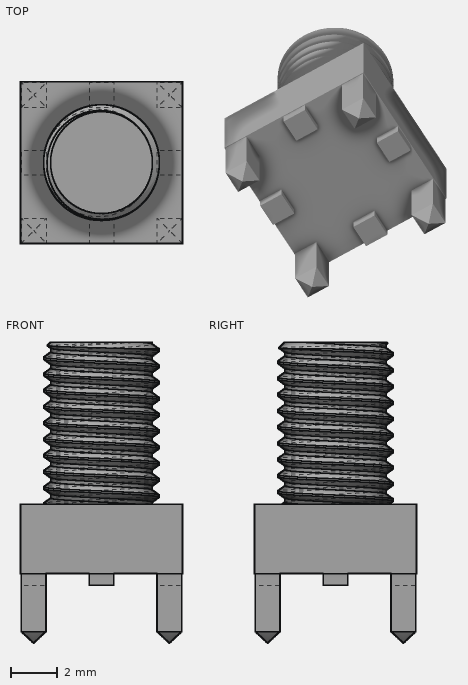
import cadquery as cq

body_width = 7.0
body_height = 3.0

pin_width = 1.07
pin_offset = 2.93
pin_shank_length = 2.5
pin_tip_length = 0.5
standoff_height = 0.5

thread_length = 7.0
thread_pitch = 0.7
thread_diameter = 5.0
crest_radius = thread_diameter / 2
thread_depth = 0.3
root_radius = crest_radius - thread_depth
crest_flat = thread_pitch / 8
root_flat = thread_pitch / 4
ridge_overlap = 0.05
spare_turns = 1
envelope_clearance = 0.2
envelope_radius = crest_radius + envelope_clearance
barrel_chamfer = envelope_radius - root_radius
thread_start_angle = 180


def make_body():
    return cq.Workplane("XY").box(body_width, body_width, body_height, centered=(True, True, False))


def make_pin(x, y):
    """Square pin below the body, ending in a pyramid point."""
    shank = (
        cq.Workplane("XY")
        .center(x, y)
        .rect(pin_width, pin_width)
        .extrude(-pin_shank_length)
    )
    half = pin_width / 2
    corners = [
        cq.Vector(x + half * sx, y + half * sy, -pin_shank_length)
        for sx, sy in ((-1, -1), (1, -1), (1, 1), (-1, 1))
    ]
    apex = cq.Vector(x, y, -pin_shank_length - pin_tip_length)
    faces = [cq.Face.makeFromWires(cq.Wire.makePolygon(corners, close=True))]
    for start, end in zip(corners, corners[1:] + corners[:1]):
        faces.append(cq.Face.makeFromWires(cq.Wire.makePolygon([start, end, apex], close=True)))
    tip = cq.Solid.makeSolid(cq.Shell.makeShell(faces))
    return shank.union(cq.Workplane("XY").add(tip))


def make_standoff(x, y):
    """Short square foot under the middle of one body edge."""
    return (
        cq.Workplane("XY")
        .center(x, y)
        .rect(pin_width, pin_width)
        .extrude(-standoff_height)
    )


def make_thread_ridge():
    """Flat-crested helical ridge, longer than the barrel by the spare turns at each end."""
    spare_length = spare_turns * thread_pitch
    helix = cq.Wire.makeHelix(
        thread_pitch, thread_length + 2 * spare_length, root_radius, lefthand=True
    )
    half_base = (thread_pitch - root_flat) / 2
    half_crest = crest_flat / 2
    flank_slope = (half_base - half_crest) / thread_depth
    sunk_half_base = half_base + ridge_overlap * flank_slope
    inner_radius = root_radius - ridge_overlap
    profile = (
        cq.Workplane("XZ")
        .moveTo(inner_radius, -sunk_half_base)
        .lineTo(crest_radius, -half_crest)
        .lineTo(crest_radius, half_crest)
        .lineTo(inner_radius, sunk_half_base)
        .close()
    )
    ridge = profile.sweep(cq.Workplane("XY").add(helix), isFrenet=True)
    return (
        ridge.rotate((0, 0, 0), (0, 0, 1), thread_start_angle)
        .translate((0, 0, body_height - spare_length))
    )


def make_barrel():
    """Core cylinder with the thread ridge, trimmed to a chamfered cylinder."""
    top_of_body = cq.Workplane("XY").workplane(offset=body_height)
    core = top_of_body.circle(root_radius).extrude(thread_length)
    envelope = (
        top_of_body.circle(envelope_radius)
        .extrude(thread_length)
        .faces(">Z")
        .chamfer(barrel_chamfer)
    )
    return core.union(make_thread_ridge().intersect(envelope))


result = make_body().union(make_barrel())

for side in (-1, 1):
    result = result.union(make_standoff(side * pin_offset, 0))
    result = result.union(make_standoff(0, side * pin_offset))
    for end in (-1, 1):
        result = result.union(make_pin(side * pin_offset, end * pin_offset))